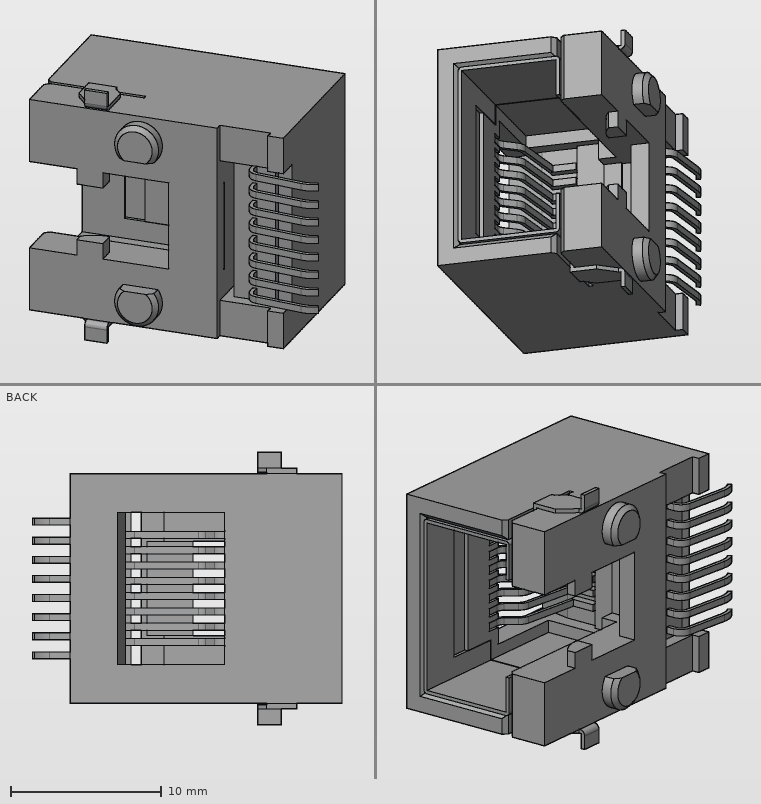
import cadquery as cq
import math


TOTAL_LENGTH = 20.58
TOTAL_WIDTH = 18.13
BODY_LENGTH = 18.07
BODY_HEIGHT = 11.5
BODY_HALF_WIDTH = 7.64
EDGE_CHAMFER = 0.3

RAIL_TOP = 2.96
CAVITY_TOP = 9.78
CAVITY_HALF_WIDTH = 5.93
CAVITY_END = 13.32
SILL_START = 11.83
SILL_TOP = 4.2
SILL_RECESS = 1.13
SILL_UNDERCUT = 1.34

LATCH_HALF_WIDTH = 3.13
LATCH_END = 9.9
FLOOR_THICKNESS = 1.28
SLIT_TOP = 1.42
CATCH_START = 3.38
CATCH_END = 5.23
CATCH_HALF_GAP = 2.02
CATCH_FRONT_HEIGHT = 0.65

BAY_HALF_WIDTH = 5.06
WINDOW_START = 7.8
FLOOR_END = 13.35
INSERT_FRONT = 14.01
INSERT_FACE = 14.4
INSERT_STEP_TOP = 6.42
INSERT_LEAN_START = 9.01
INSERT_LEAN = 0.51
HEEL_START = 16.95
HEEL_RELIEF = 0.51
REAR_BEVEL_FRONT = 1.98
REAR_BEVEL_BACK = 1.63

SHEET = 0.25
SHIELD_HALF_WIDTH = 6.22
SHIELD_TOP = 10.06
SHIELD_END = 7.02
FLANGE_INNER = 3.48
SLOT_TOP = 3.25
CUTOUT_HALF_WIDTH = 4.53
LEDGE_START = 4.49
TAB_OUTER = 8.0
TAB_START = 3.0
CUTOUT_START = TAB_START
TAB_NECK_END = 5.02
TAB_END = 5.62
FOOT_START = 4.03
TAB_SLOPE_START = 1.38
TAB_SLOPE_END = 0.16
TAB_SHOULDER = 2.26
TAB_THICKNESS = 0.29
FOOT_BEND_RADIUS = 0.4

PEG_X = 7.9
PEG_Z = 5.7
PEG_RADIUS = 1.56
PEG_HEIGHT = 1.05
PEG_CHAMFER = 0.33
PEG_FLAT_Z = 4.73

LEAD_COUNT = 8
PIN_SPAN = 8.9
PIN_WIDTH = 0.47
PIN_THICKNESS = 0.29
PIN_FRONT = 15.35
PIN_BEND_RADIUS = 0.68
PIN_BEND_BOTTOM = 0.23
PIN_SLOPE = math.radians(6)
PIN_TIP_RADIUS = 1.73
PIN_TIP_ANGLE = math.radians(31)
CONTACT_SPAN = 7.12
CONTACT_WIDTH = 0.47
CONTACT_THICKNESS = 0.25
CONTACT_TIP_X = 6.83
CONTACT_TIP_Y = 10.02
CONTACT_TIP_LENGTH = 0.97
CONTACT_UPPER_RADIUS = 0.75
CONTACT_LOWER_RADIUS = 0.82
CONTACT_RAMP_LENGTH = 0.97
CONTACT_RAMP_ANGLE = math.radians(52)
CONTACT_RUN_ANGLE = math.radians(6.8)
CONTACT_LEG_X = 13.79
GROOVE_WIDTH = 0.6
GROOVE_TOP = 10.27


def block(x0, x1, y0, y1, z0, z1):
    return cq.Workplane("XY").box(x1 - x0, y1 - y0, z1 - z0, centered=False).translate((x0, y0, z0))


def centred_block(x0, x1, y0, y1, half_width):
    return block(x0, x1, y0, y1, -half_width, half_width)


def with_mirror(solid):
    """The solid together with its twin across the mid-plane Z = 0."""
    return solid.union(solid.mirror("XY"))


def lead_positions(span):
    """Evenly spaced Z positions, centred on the mid-plane."""
    pitch = span / (LEAD_COUNT - 1)
    return [i * pitch - span / 2 for i in range(LEAD_COUNT)]


def make_housing():
    """Box with the port, the bevelled mouth and the side slots."""
    body = centred_block(0, BODY_LENGTH, 0, BODY_HEIGHT, BODY_HALF_WIDTH)

    body = body.cut(centred_block(0, SHIELD_END, RAIL_TOP, SHIELD_TOP, SHIELD_HALF_WIDTH))
    body = body.cut(centred_block(SHIELD_END, SILL_START, RAIL_TOP, CAVITY_TOP, CAVITY_HALF_WIDTH))
    body = body.cut(centred_block(SILL_START, CAVITY_END, SILL_TOP, CAVITY_TOP, CAVITY_HALF_WIDTH))

    body = body.union(centred_block(LEDGE_START, SHIELD_END, CAVITY_TOP, SHIELD_TOP, CUTOUT_HALF_WIDTH))

    mouth_centre_y = (SLOT_TOP + SHIELD_TOP) / 2
    mouth = (
        cq.Workplane("YZ")
        .center(mouth_centre_y, 0)
        .rect(SHIELD_TOP - SLOT_TOP + 2 * EDGE_CHAMFER, 2 * (SHIELD_HALF_WIDTH + EDGE_CHAMFER))
        .workplane(offset=EDGE_CHAMFER)
        .rect(SHIELD_TOP - SLOT_TOP, 2 * SHIELD_HALF_WIDTH)
        .loft()
    )
    body = body.cut(mouth)

    slot = (
        cq.Workplane("XY")
        .moveTo(0, RAIL_TOP - EDGE_CHAMFER)
        .lineTo(EDGE_CHAMFER, RAIL_TOP)
        .lineTo(SHIELD_END, RAIL_TOP)
        .lineTo(SHIELD_END, SLOT_TOP)
        .lineTo(EDGE_CHAMFER, SLOT_TOP)
        .lineTo(0, SLOT_TOP + EDGE_CHAMFER)
        .close()
        .extrude(BODY_HALF_WIDTH, both=True)
    )
    return body.cut(slot)


def cut_latch_opening(body):
    """Latch slot through the floor, continued as a stepped recess into the sill."""
    body = body.cut(centred_block(0, LATCH_END, 0, RAIL_TOP, LATCH_HALF_WIDTH))
    recess_end = SILL_START + SILL_RECESS
    body = body.cut(centred_block(LATCH_END, recess_end, FLOOR_THICKNESS, SILL_TOP, LATCH_HALF_WIDTH))
    undercut_end = SILL_START + SILL_UNDERCUT
    body = body.cut(centred_block(LATCH_END, undercut_end, FLOOR_THICKNESS, RAIL_TOP, LATCH_HALF_WIDTH))
    return body.cut(centred_block(LATCH_END, FLOOR_END, FLOOR_THICKNESS, SLIT_TOP, LATCH_HALF_WIDTH))


def make_catches():
    """Latch catches on both sides of the opening, with a rounded lead-in."""
    run = CATCH_END - CATCH_START
    rise = FLOOR_THICKNESS - CATCH_FRONT_HEIGHT
    radius = (run**2 + rise**2) / (2 * rise)
    middle_x = (CATCH_START + CATCH_END) / 2
    middle_y = FLOOR_THICKNESS - radius + math.sqrt(radius**2 - (run / 2) ** 2)
    catch = (
        cq.Workplane("XY")
        .workplane(offset=CATCH_HALF_GAP)
        .moveTo(CATCH_START, 0)
        .lineTo(CATCH_START, CATCH_FRONT_HEIGHT)
        .threePointArc((middle_x, middle_y), (CATCH_END, FLOOR_THICKNESS))
        .lineTo(CATCH_END, 0)
        .close()
        .extrude(LATCH_HALF_WIDTH - CATCH_HALF_GAP)
    )
    return with_mirror(catch)


def cut_contact_bay(body):
    """Openings around the rear insert that carries the contacts and pins."""
    body = body.cut(centred_block(WINDOW_START, INSERT_FRONT, SILL_TOP, BODY_HEIGHT, BAY_HALF_WIDTH))
    body = body.cut(centred_block(FLOOR_END, INSERT_FRONT, 0, BODY_HEIGHT, BAY_HALF_WIDTH))

    front_step = (
        cq.Workplane("XY")
        .moveTo(INSERT_FRONT, INSERT_STEP_TOP)
        .lineTo(INSERT_FACE, INSERT_STEP_TOP)
        .lineTo(INSERT_FACE, INSERT_LEAN_START)
        .lineTo(INSERT_FACE + INSERT_LEAN, BODY_HEIGHT)
        .lineTo(INSERT_FRONT, BODY_HEIGHT)
        .close()
        .extrude(BAY_HALF_WIDTH, both=True)
    )
    body = body.cut(front_step)

    underside = (
        cq.Workplane("XY")
        .moveTo(INSERT_FRONT, 0)
        .lineTo(INSERT_FRONT, SLIT_TOP)
        .lineTo(HEEL_START, SLIT_TOP)
        .lineTo(HEEL_START, REAR_BEVEL_FRONT)
        .lineTo(BODY_LENGTH, REAR_BEVEL_BACK)
        .lineTo(BODY_LENGTH, 0)
        .close()
        .extrude(BAY_HALF_WIDTH, both=True)
    )
    body = body.cut(underside)

    body = body.cut(centred_block(FLOOR_END, HEEL_START, 0, HEEL_RELIEF, BODY_HALF_WIDTH))

    for z in lead_positions(CONTACT_SPAN):
        z0 = z - GROOVE_WIDTH / 2
        groove = block(CONTACT_TIP_X, WINDOW_START, CAVITY_TOP - SHEET, GROOVE_TOP, z0, z0 + GROOVE_WIDTH)
        body = body.cut(groove)
    return body


def make_shield_liner():
    """Sheet lining the mouth on three sides, with flanges turned in over the rails."""
    outside = centred_block(0, SHIELD_END, RAIL_TOP, SHIELD_TOP, SHIELD_HALF_WIDTH)
    outside = outside.edges("|X").fillet(SHEET)
    inside = centred_block(
        0, SHIELD_END, RAIL_TOP + SHEET, SHIELD_TOP - SHEET, SHIELD_HALF_WIDTH - SHEET
    )
    liner = outside.cut(inside)
    liner = liner.cut(centred_block(0, SHIELD_END, RAIL_TOP, SLOT_TOP, FLANGE_INNER))
    liner = liner.cut(centred_block(TAB_NECK_END, SHIELD_END, RAIL_TOP, SLOT_TOP, SHIELD_HALF_WIDTH))
    return liner.cut(
        centred_block(CUTOUT_START, SHIELD_END, SHIELD_TOP - SHEET, SHIELD_TOP, CUTOUT_HALF_WIDTH)
    )


def make_shield_tabs():
    """Tabs that leave through the side slots, run down the walls and end in solder feet."""
    neck_top = RAIL_TOP + SHEET
    tab_inner = TAB_OUTER - TAB_THICKNESS
    neck = block(TAB_START, TAB_NECK_END, RAIL_TOP, neck_top, SHIELD_HALF_WIDTH - SHEET, TAB_OUTER)
    plate = (
        cq.Workplane("XY")
        .workplane(offset=tab_inner)
        .moveTo(TAB_START, neck_top)
        .lineTo(TAB_START, TAB_SLOPE_START)
        .lineTo(FOOT_START, TAB_SLOPE_END)
        .lineTo(FOOT_START, -TAB_THICKNESS)
        .lineTo(TAB_END, -TAB_THICKNESS)
        .lineTo(TAB_END, TAB_SHOULDER)
        .lineTo(TAB_NECK_END, RAIL_TOP)
        .lineTo(TAB_NECK_END, neck_top)
        .close()
        .extrude(TAB_THICKNESS)
    )
    foot = block(FOOT_START, TAB_END, -TAB_THICKNESS, 0, tab_inner, TOTAL_WIDTH / 2)
    tab = neck.union(plate).union(foot)
    heel_edge = cq.selectors.NearestToPointSelector((FOOT_START, -TAB_THICKNESS, tab_inner))
    tab = tab.edges("|X").edges(heel_edge).fillet(FOOT_BEND_RADIUS)
    return with_mirror(tab)


def make_pegs():
    """Round locating pegs, bevelled at the tip and flat on the side facing the mid-plane."""
    peg = (
        cq.Workplane("XZ")
        .center(PEG_X, PEG_Z)
        .circle(PEG_RADIUS)
        .extrude(PEG_HEIGHT)
        .faces("<Y")
        .chamfer(PEG_CHAMFER)
    )
    inner_side = centred_block(PEG_X - PEG_RADIUS, PEG_X + PEG_RADIUS, -PEG_HEIGHT, 0, PEG_FLAT_Z)
    return with_mirror(peg.cut(inner_side))


def make_pin():
    """Gull-wing pin: drops from the insert, bends rearward and ends in an upturned tip."""
    riser_x = PIN_FRONT + PIN_THICKNESS / 2
    bend_x = riser_x + PIN_BEND_RADIUS
    bend_y = PIN_BEND_BOTTOM + PIN_BEND_RADIUS * math.cos(PIN_SLOPE)
    foot_start_x = bend_x - PIN_BEND_RADIUS * math.sin(PIN_SLOPE)
    tip_x = TOTAL_LENGTH - PIN_THICKNESS / 2 * math.sin(PIN_TIP_ANGLE)
    foot_end_x = tip_x - PIN_TIP_RADIUS * (math.sin(PIN_TIP_ANGLE) + math.sin(PIN_SLOPE))
    foot_end_y = PIN_BEND_BOTTOM - (foot_end_x - foot_start_x) * math.tan(PIN_SLOPE)
    tip_y = foot_end_y + PIN_TIP_RADIUS * (math.cos(PIN_SLOPE) - math.cos(PIN_TIP_ANGLE))
    start_y = SLIT_TOP + PIN_THICKNESS
    path = (
        cq.Workplane("XY")
        .moveTo(riser_x, start_y)
        .lineTo(riser_x, bend_y)
        .tangentArcPoint((foot_start_x, PIN_BEND_BOTTOM), relative=False)
        .lineTo(foot_end_x, foot_end_y)
        .tangentArcPoint((tip_x, tip_y), relative=False)
    )
    section = cq.Workplane("XZ", origin=(riser_x, start_y, 0)).rect(PIN_THICKNESS, PIN_WIDTH)
    return section.sweep(path)


def make_contact():
    """Spring contact: level tip, steep ramp, gently falling run and a leg down to the insert step."""
    ramp_sin = math.sin(CONTACT_RAMP_ANGLE)
    ramp_cos = math.cos(CONTACT_RAMP_ANGLE)
    run_sin = math.sin(CONTACT_RUN_ANGLE)
    run_cos = math.cos(CONTACT_RUN_ANGLE)
    ramp_start_x = CONTACT_TIP_X + CONTACT_TIP_LENGTH + CONTACT_UPPER_RADIUS * ramp_sin
    ramp_start_y = CONTACT_TIP_Y - CONTACT_UPPER_RADIUS * (1 - ramp_cos)
    ramp_end_x = ramp_start_x + CONTACT_RAMP_LENGTH * ramp_cos
    ramp_end_y = ramp_start_y - CONTACT_RAMP_LENGTH * ramp_sin
    run_start_x = ramp_end_x + CONTACT_LOWER_RADIUS * (ramp_sin - run_sin)
    run_start_y = ramp_end_y - CONTACT_LOWER_RADIUS * (run_cos - ramp_cos)
    leg_top = run_start_y - (CONTACT_LEG_X - run_start_x) * math.tan(CONTACT_RUN_ANGLE)
    path = (
        cq.Workplane("XY")
        .moveTo(CONTACT_TIP_X, CONTACT_TIP_Y)
        .lineTo(CONTACT_TIP_X + CONTACT_TIP_LENGTH, CONTACT_TIP_Y)
        .tangentArcPoint((ramp_start_x, ramp_start_y), relative=False)
        .lineTo(ramp_end_x, ramp_end_y)
        .tangentArcPoint((run_start_x, run_start_y), relative=False)
        .lineTo(CONTACT_LEG_X, leg_top)
    )
    section = cq.Workplane("YZ", origin=(CONTACT_TIP_X, CONTACT_TIP_Y, 0))
    wire = section.rect(CONTACT_THICKNESS, CONTACT_WIDTH).sweep(path)
    leg = centred_block(
        CONTACT_LEG_X, INSERT_FACE, INSERT_STEP_TOP, leg_top + CONTACT_THICKNESS / 2, CONTACT_WIDTH / 2
    )
    return wire.union(leg)


result = cut_contact_bay(cut_latch_opening(make_housing()))
for feature in (make_catches(), make_shield_liner(), make_shield_tabs(), make_pegs()):
    result = result.union(feature)
for lead, span in ((make_pin(), PIN_SPAN), (make_contact(), CONTACT_SPAN)):
    for z in lead_positions(span):
        result = result.union(lead.translate((0, 0, z)))